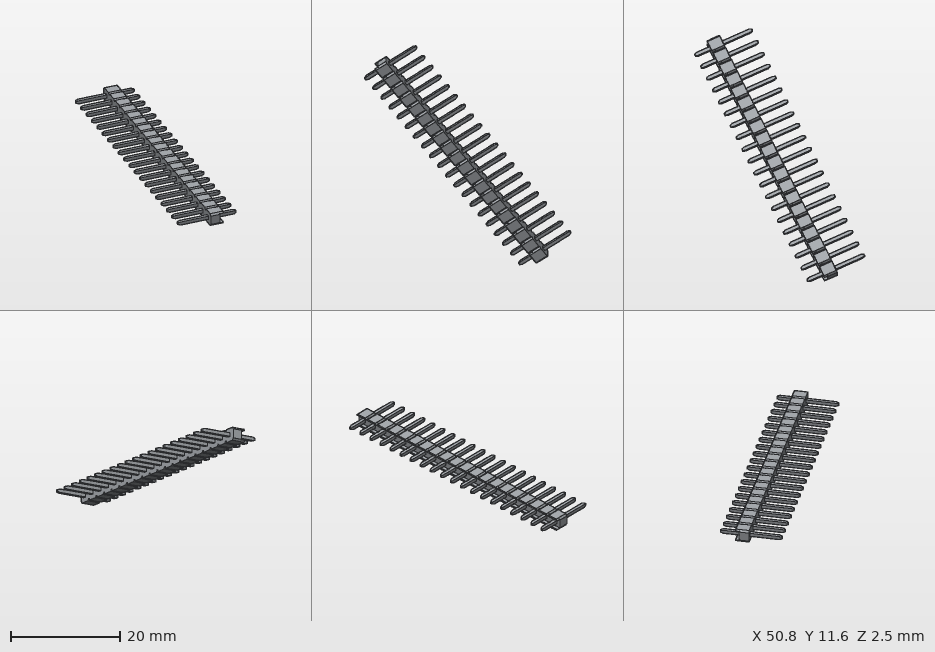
import cadquery as cq

pin_count = 20
housing_length = 50.8
housing_height = 2.5
housing_depth = 2.55
notch_half_width = 0.3
notch_depth = 0.38
lip_reach = 0.7
lip_thickness = 0.3
pin_length = 11.6
pin_width = 0.65
front_pin_length = 6.05
tip_length = 0.5
tip_width = 0.35
pin_offset = -0.1

pitch = housing_length / pin_count
half_height = housing_height / 2
pin_front = -front_pin_length
pin_rear = pin_front + pin_length


def make_segment_outline():
    """Octagonal outline of one pin position; its bevels form the V notches."""
    outer_x = pitch / 2
    flat_x = outer_x - notch_half_width
    side_z = half_height - notch_depth
    return (
        cq.Workplane("XZ")
        .moveTo(-flat_x, half_height)
        .lineTo(flat_x, half_height)
        .lineTo(outer_x, side_z)
        .lineTo(outer_x, -side_z)
        .lineTo(flat_x, -half_height)
        .lineTo(-flat_x, -half_height)
        .lineTo(-outer_x, -side_z)
        .lineTo(-outer_x, side_z)
        .close()
    )


def make_segment():
    """One housing position with a rear channel that leaves a lip above and below."""
    block = make_segment_outline().extrude(-housing_depth)
    channel = (
        cq.Workplane("XY")
        .box(pitch, lip_reach, housing_height - 2 * lip_thickness)
        .translate((0, housing_depth - lip_reach / 2, 0))
    )
    return block.cut(channel)


def make_tip(base_y, outward):
    """Tapered pin end starting at base_y; outward is +1 to the rear, -1 to the front."""
    return (
        cq.Workplane(cq.Plane((0, base_y, 0), xDir=(1, 0, 0), normal=(0, outward, 0)))
        .rect(pin_width, pin_width)
        .workplane(offset=tip_length)
        .rect(tip_width, tip_width)
        .loft(ruled=True)
    )


def make_pin():
    """Straight square pin with a taper at both ends."""
    shank_length = pin_length - 2 * tip_length
    shank = (
        cq.Workplane("XY")
        .box(pin_width, shank_length, pin_width)
        .translate((0, (pin_front + pin_rear) / 2, 0))
    )
    front_tip = make_tip(pin_front + tip_length, -1)
    rear_tip = make_tip(pin_rear - tip_length, 1)
    return shank.union(front_tip).union(rear_tip)


position = make_segment().union(make_pin().translate((pin_offset, 0, 0)))
result = position
for index in range(1, pin_count):
    result = result.union(position.translate((index * pitch, 0, 0)))

result = result.clean().translate((-(housing_length - pitch) / 2, 0, 0))